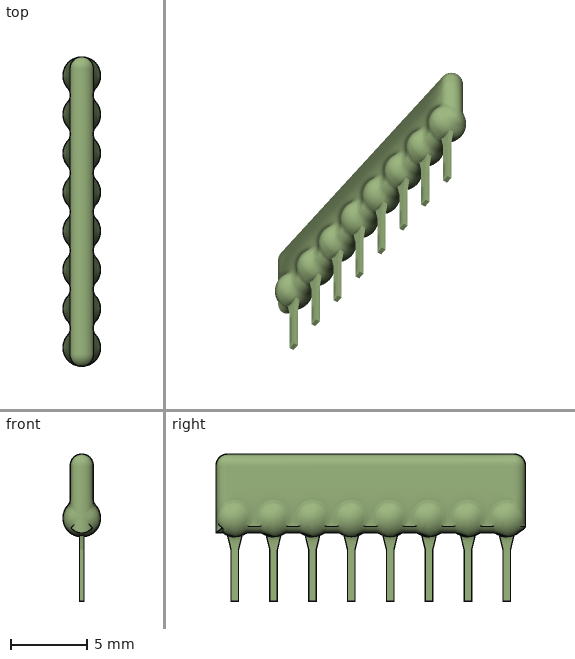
import cadquery as cq

length = 20.27
height = 9.65
body_thick = 1.52
body_depth = 5.17
bottom_bulge = 0.4
end_radius = body_thick / 2
bottom_radius = (end_radius**2 + bottom_bulge**2) / (2 * bottom_bulge)

bump_count = 8
bump_radius = 1.24
bump_drop = 4.2
bump_blend = 0.5
bump_proud = 0.002
bump_span = length - 2 * bump_radius
bump_pitch = bump_span / (bump_count - 1)
bump_ys = [i * bump_pitch - bump_span / 2 for i in range(bump_count)]
straight_half = length / 2 - bump_proud - end_radius

lead_thick = 0.3
lead_width = 0.5
taper_top_drop = 4.45
taper_top_width = 1.4
taper_end_drop = 6.26

tolerance = 0.0002


def half_section(bulged_bottom):
    """Half of the body section in the XZ plane: quarter-round top, side and bottom."""
    outline = (
        cq.Workplane("XZ")
        .moveTo(0, -body_depth)
        .lineTo(0, 0)
        .radiusArc((end_radius, -end_radius), end_radius)
    )
    if bulged_bottom:
        outline = outline.lineTo(end_radius, bottom_bulge - body_depth)
        return outline.radiusArc((0, -body_depth), bottom_radius).close()
    return outline.lineTo(end_radius, -body_depth).close()


def bar(half_length):
    """Full body section extruded both ways along Y."""
    half = half_section(True).extrude(half_length, both=True)
    return half.union(half.mirror("YZ"))


def round_end(bulged_bottom):
    """Half section turned about the vertical axis."""
    return half_section(bulged_bottom).revolve(360, (0, 0, 0), (0, 1, 0))


def make_body():
    plus_end = round_end(True).translate((0, straight_half, 0))
    minus_end = round_end(False).intersect(bar(length)).translate((0, -straight_half, 0))
    return bar(straight_half).union(plus_end).union(minus_end)


def add_bump(body, y):
    """Join one ball to the body and blend the seam between them."""
    center = cq.Vector(0, y, -bump_drop)
    ball = cq.Workplane("XY").sphere(bump_radius).rotate((0, 0, 0), (0, 1, 0), 90)
    joined = body.union(ball.translate(center))

    def is_blended_seam(edge):
        middle = edge.positionAt(0.5)
        points = (edge.startPoint(), middle, edge.endPoint())
        on_ball = all(abs((p - center).Length - bump_radius) < tolerance for p in points)
        on_body = abs(middle.x) < end_radius + tolerance
        sharp = y == bump_ys[0] and middle.y < y and middle.z < -bump_drop
        return on_ball and on_body and not sharp

    return joined.edges().filter(is_blended_seam).fillet(bump_blend)


def make_lead(y):
    outline = [
        (taper_top_width / 2, -taper_top_drop),
        (lead_width / 2, -taper_end_drop),
        (lead_width / 2, -height),
        (-lead_width / 2, -height),
        (-lead_width / 2, -taper_end_drop),
        (-taper_top_width / 2, -taper_top_drop),
    ]
    lead = cq.Workplane("YZ").polyline(outline).close().extrude(lead_thick / 2, both=True)
    return lead.translate((0, y, 0))


result = make_body()
for bump_y in bump_ys:
    result = add_bump(result, bump_y)
for bump_y in bump_ys:
    result = result.union(make_lead(bump_y))